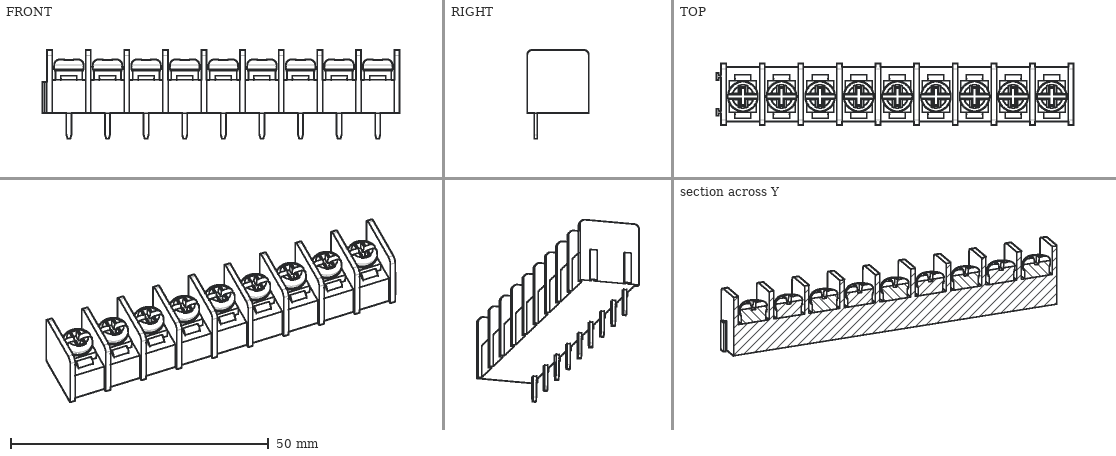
import cadquery as cq
import math

total_length = 69.35
pole_count = 9
key_projection = 0.9
rib_thickness = 1.05
pitch = (total_length - key_projection - rib_thickness) / pole_count

rib_depth = 12.0
rib_height = 12.3
rib_corner_radius = 1.05
body_depth = 10.6
body_height = 6.45

key_spacing = 6.9
key_height = 6.0
key_flange_width = 1.4
key_flange_thickness = 0.5
key_stem_width = 0.5

terminal_y = -0.4
strip_width = 3.1
strip_thickness = 0.6
strip_span = 8.45
strip_top = 7.3
bend_radius = 1.2
leg_bottom = 5.2
pin_width = 1.05
pin_length = 5.0
pin_tip_width = 0.55
pin_tip_length = 0.8

clamp_width = 5.3
clamp_depth = 6.1
clamp_top = 8.2
washer_diameter = 5.55
washer_top = 8.5
head_diameter = 5.8
head_top = 10.4
head_flat_diameter = 4.15
dome_base = 9.35
dome_bulge = 0.2
drive_depth = 1.4
drive_floor_width = 0.7
drive_top_width = 1.2
wing_length = 3.75
notch_width = 1.9
notch_depth = 0.1


def block(size_x, size_y, bottom, top, x=0.0, y=0.0):
    """Upright block centred on (x, y) between two heights."""
    return (
        cq.Workplane("XY", origin=(x, y, bottom))
        .rect(size_x, size_y)
        .extrude(top - bottom)
    )


def make_rib(x):
    """Dividing wall with rounded top corners."""
    return (
        block(rib_thickness, rib_depth, 0, rib_height, x)
        .edges("|X and >Z")
        .fillet(rib_corner_radius)
    )


def make_key(y):
    """T-shaped key standing out from the end wall at X = 0."""
    flange_x = key_flange_thickness / 2 - key_projection
    flange = block(key_flange_thickness, key_flange_width, 0, key_height, flange_x, y)
    stem = block(key_projection, key_stem_width, 0, key_height, -key_projection / 2, y)
    return flange.union(stem)


def make_housing_blank():
    """Housing before the terminal recesses are cut."""
    row_length = pole_count * pitch + rib_thickness
    blank = block(row_length, body_depth, 0, body_height, row_length / 2)
    for index in range(pole_count + 1):
        blank = blank.union(make_rib(rib_thickness / 2 + index * pitch))
    for side in (-1, 1):
        blank = blank.union(make_key(side * key_spacing / 2))
    return blank


def make_strip():
    """Flat strip bent down at both ends."""
    def arch(span, top, radius):
        """Upright block with its two X-wise top edges rounded."""
        return (
            block(strip_width, span, leg_bottom, top)
            .edges("|X and >Z")
            .fillet(radius)
        )

    outside = arch(strip_span, strip_top, bend_radius)
    inside = arch(
        strip_span - 2 * strip_thickness,
        strip_top - strip_thickness,
        bend_radius - strip_thickness,
    )
    return outside.cut(inside)


def make_pin():
    """Solder pin below the front bend, narrowed to its tip."""
    tip_start = pin_tip_length - pin_length
    return (
        cq.Workplane("XZ", origin=(0, strip_thickness - strip_span / 2, 0))
        .moveTo(-pin_width / 2, leg_bottom)
        .lineTo(-pin_width / 2, tip_start)
        .lineTo(-pin_tip_width / 2, -pin_length)
        .lineTo(pin_tip_width / 2, -pin_length)
        .lineTo(pin_width / 2, tip_start)
        .lineTo(pin_width / 2, leg_bottom)
        .close()
        .extrude(strip_thickness)
    )


def make_drive_slot():
    """Tool for the sloped-wall slot that crosses the whole screw head along X."""
    floor = head_top - drive_depth
    return (
        cq.Workplane("YZ", origin=(-head_diameter / 2, 0, 0))
        .moveTo(-drive_top_width / 2, head_top)
        .lineTo(-drive_floor_width / 2, floor)
        .lineTo(drive_floor_width / 2, floor)
        .lineTo(drive_top_width / 2, head_top)
        .close()
        .extrude(head_diameter)
    )


def make_drive_wings():
    """Tool for the tapered pocket that crosses the slot along Y."""
    wall_inset = (drive_top_width - drive_floor_width) / 2
    wall_angle = math.degrees(math.atan2(wall_inset, drive_depth))
    return (
        cq.Workplane("XY", origin=(0, 0, head_top))
        .rect(drive_top_width, wing_length)
        .extrude(-drive_depth, taper=wall_angle)
    )


def make_screw():
    """Domed screw head on its washer, with crossed drive slots and a shallow notch along Y."""
    head_radius = head_diameter / 2
    flat_radius = head_flat_diameter / 2
    washer_radius = washer_diameter / 2
    head = (
        cq.Workplane("XZ")
        .moveTo(0, clamp_top)
        .lineTo(washer_radius, clamp_top)
        .lineTo(washer_radius, washer_top)
        .lineTo(head_radius, washer_top)
        .lineTo(head_radius, dome_base)
        .sagittaArc((flat_radius, head_top), -dome_bulge)
        .lineTo(0, head_top)
        .close()
        .revolve(360, (0, 0, 0), (0, 1, 0))
    )
    notch = block(notch_width, head_diameter, head_top - notch_depth, head_top)
    return head.cut(make_drive_slot()).cut(make_drive_wings()).cut(notch)


def make_terminal():
    """Strip, pin, clamp plate and screw of one pole as a single body."""
    clamp = block(clamp_width, clamp_depth, body_height, clamp_top)
    return make_strip().union(make_pin()).union(clamp).union(make_screw())


terminal = make_terminal()
housing = make_housing_blank()
terminals = []
for pole in range(pole_count):
    pole_x = rib_thickness / 2 + (pole + 0.5) * pitch
    placed = terminal.translate((pole_x, terminal_y, 0))
    housing = housing.cut(placed)
    terminals.append(placed.solids().val())

result = cq.Compound.makeCompound([housing.solids().val(), *terminals])